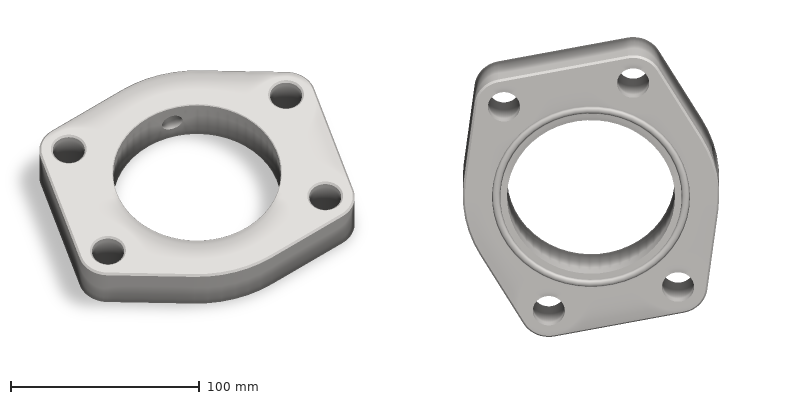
import cadquery as cq
import math

length = 152.0
width = 136.0
thickness = 26.0
side_radius = width / 2
corner_radius = 15.7
edge_chamfer = 1.0

bore_diameter = 89.0
bore_chamfer = 0.5

bolt_x = 35.0
bolt_y = length / 2 - corner_radius
bolt_diameter = 17.0
bolt_chamfer = 0.99

port_diameter = 11.4
port_chamfer = 0.9
spotface_diameter = 19.0
spotface_depth = 2.7
port_z = thickness / 2

groove_outer_diameter = 105.0
groove_inner_diameter = 96.2
seal_protrusion = 0.6
seal_section_diameter = (groove_outer_diameter - groove_inner_diameter) / 2
seal_centre_radius = (groove_outer_diameter + groove_inner_diameter) / 4
groove_depth = seal_section_diameter - seal_protrusion


def flange_outline():
    """Closed outline of tangent arcs and straight edges."""
    centre_distance = math.hypot(bolt_x, bolt_y)
    normal_angle = math.atan2(bolt_y, bolt_x) - math.acos((side_radius - corner_radius) / centre_distance)
    side_x = side_radius * math.cos(normal_angle)
    side_y = side_radius * math.sin(normal_angle)
    corner_x = bolt_x + corner_radius * math.cos(normal_angle)
    corner_y = bolt_y + corner_radius * math.sin(normal_angle)

    middle_angle = (normal_angle + math.pi / 2) / 2
    middle_x = bolt_x + corner_radius * math.cos(middle_angle)
    middle_y = bolt_y + corner_radius * math.sin(middle_angle)
    end_y = length / 2
    return (
        cq.Workplane("XY")
        .moveTo(side_x, -side_y)
        .threePointArc((side_radius, 0), (side_x, side_y))
        .lineTo(corner_x, corner_y)
        .threePointArc((middle_x, middle_y), (bolt_x, end_y))
        .lineTo(-bolt_x, end_y)
        .threePointArc((-middle_x, middle_y), (-corner_x, corner_y))
        .lineTo(-side_x, side_y)
        .threePointArc((-side_radius, 0), (-side_x, -side_y))
        .lineTo(-corner_x, -corner_y)
        .threePointArc((-middle_x, -middle_y), (-bolt_x, -end_y))
        .lineTo(bolt_x, -end_y)
        .threePointArc((middle_x, -middle_y), (corner_x, -corner_y))
        .close()
    )


def chamfered_hole(diameter, chamfer):
    """Cutter for a vertical through hole with a chamfered top rim."""
    return (
        cq.Workplane("XZ")
        .lineTo(diameter / 2, 0)
        .lineTo(diameter / 2, thickness - chamfer)
        .lineTo(diameter / 2 + chamfer, thickness)
        .lineTo(0, thickness)
        .close()
        .revolve(360, (0, 0), (0, 1))
    )


def port_cutter():
    """Cutter for the spotfaced, chamfered port from the -X side into the bore."""
    seat_x = -side_radius + spotface_depth
    port_radius = port_diameter / 2
    spotface_radius = spotface_diameter / 2
    return (
        cq.Workplane("XY")
        .moveTo(-side_radius, 0)
        .lineTo(-side_radius, spotface_radius)
        .lineTo(seat_x, spotface_radius)
        .lineTo(seat_x, port_radius + port_chamfer)
        .lineTo(seat_x + port_chamfer, port_radius)
        .lineTo(0, port_radius)
        .lineTo(0, 0)
        .close()
        .revolve(360, (0, 0), (1, 0))
        .translate((0, 0, port_z))
    )


def make_flange():
    body = flange_outline().extrude(thickness)
    body = body.faces("|Z").edges().chamfer(edge_chamfer)

    body = body.cut(chamfered_hole(bore_diameter, bore_chamfer))
    for x in (-bolt_x, bolt_x):
        for y in (-bolt_y, bolt_y):
            body = body.cut(chamfered_hole(bolt_diameter, bolt_chamfer).translate((x, y, 0)))

    body = body.cut(port_cutter())

    groove = (
        cq.Workplane("XY")
        .circle(groove_outer_diameter / 2)
        .circle(groove_inner_diameter / 2)
        .extrude(groove_depth)
    )
    return body.cut(groove)


def make_seal_ring():
    """Round-section ring resting on the groove floor and standing proud of the underside."""
    section_radius = seal_section_diameter / 2
    return (
        cq.Workplane("XZ")
        .center(seal_centre_radius, groove_depth - section_radius)
        .circle(section_radius)
        .revolve(360, (-seal_centre_radius, 0), (-seal_centre_radius, 1))
    )


flange = make_flange()
seal_ring = make_seal_ring()
result = cq.Compound.makeCompound([flange.val(), seal_ring.val()])